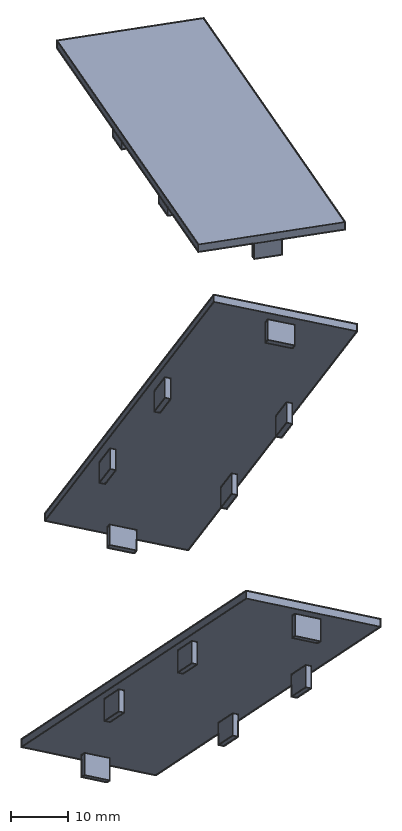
import cadquery as cq

plate_length = 80.0
plate_width = 27.0
plate_thickness = 1.5
overall_height = 5.7

tab_width = 5.1
tab_thickness = 1.1
tab_height = overall_height - plate_thickness
end_tab_inset = 2.0
side_tab_inset = 1.5
side_tab_spacing = 26.0
side_tab_shift = 2.45

end_tab_x = plate_length / 2 - end_tab_inset - tab_thickness / 2
side_tab_y = plate_width / 2 - side_tab_inset - tab_thickness / 2


def make_plate():
    """Flat plate with its underside at Z = 0."""
    return cq.Workplane("XY").box(
        plate_length, plate_width, plate_thickness, centered=(True, True, False)
    )


def make_tab(x, y, size_x, size_y):
    """Rectangular tab hanging below the plate, centred on (x, y)."""
    return cq.Workplane("XY").center(x, y).rect(size_x, size_y).extrude(-tab_height)


result = make_plate()

for side in (-1, 1):
    result = result.union(make_tab(side * end_tab_x, 0, tab_thickness, tab_width))

    for direction in (-1, 1):
        side_tab_x = side_tab_shift + direction * side_tab_spacing / 2
        result = result.union(make_tab(side_tab_x, side * side_tab_y, tab_width, tab_thickness))